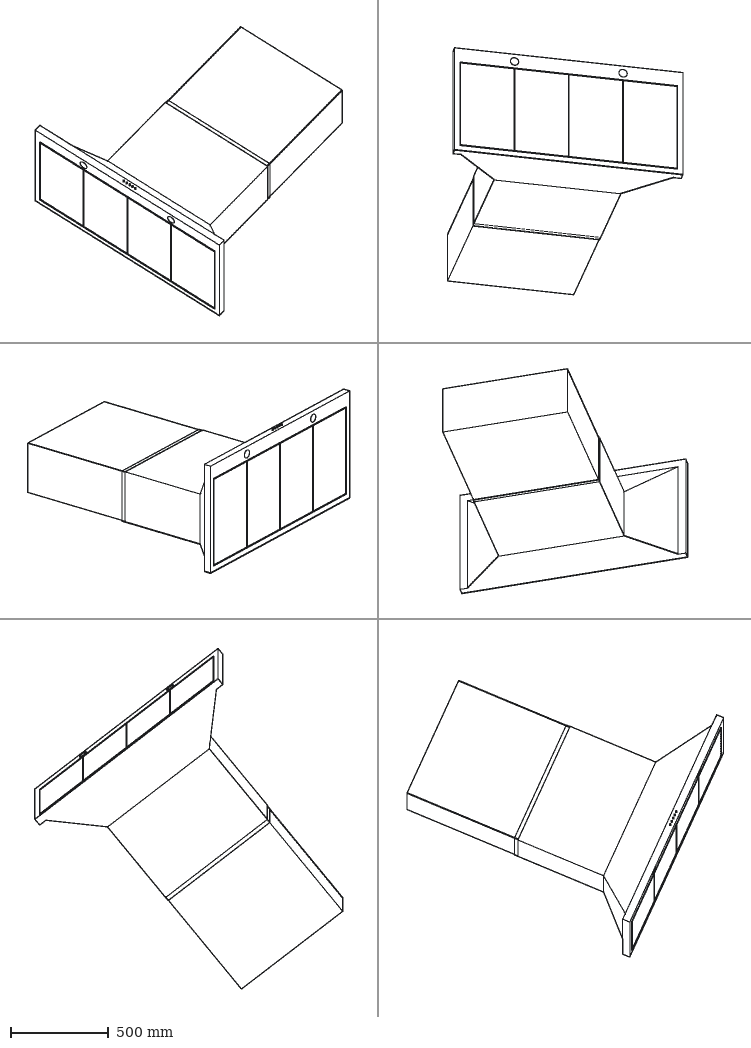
import cadquery as cq

RIM_WIDTH = 1200.0
RIM_HEIGHT = 600.0
RIM_DEPTH = 40.0

CANOPY_SIDE_INSET = 41.0
CANOPY_TOP_INSET = 42.0
CANOPY_END_Y = 263.0
CANOPY_MOUTH_WIDTH = RIM_WIDTH - 2 * CANOPY_SIDE_INSET
CANOPY_MOUTH_HEIGHT = RIM_HEIGHT - CANOPY_TOP_INSET

DUCT_WIDTH = 667.0
DUCT_HEIGHT = 283.0
LOWER_DUCT_END_Y = 763.0
BAND_LENGTH = 20.0
BAND_STEP = 1.0
UPPER_DUCT_SIDE_INSET = 2.0
UPPER_DUCT_TOP_INSET = 2.0
UPPER_DUCT_BOTTOM = 4.0
UPPER_DUCT_END_Y = 1365.0
UPPER_DUCT_WIDTH = DUCT_WIDTH - 2 * UPPER_DUCT_SIDE_INSET
UPPER_DUCT_HEIGHT = DUCT_HEIGHT - UPPER_DUCT_TOP_INSET - UPPER_DUCT_BOTTOM
TOP_LEDGE_WIDTH = 4.0
TOP_LEDGE_DROP = 1.0
SOCKET_START_Y = LOWER_DUCT_END_Y - BAND_LENGTH

FLANGE_HEIGHT = 4.0
FLANGE_STEP = 0.7

FILTER_COUNT = 4
FILTER_FIELD_WIDTH = 1140.0
FILTER_FIELD_HEIGHT = 487.0
FILTER_FIELD_BOTTOM = 33.0
FILTER_PITCH = FILTER_FIELD_WIDTH / FILTER_COUNT
GROOVE_WIDTH = 3.4
GROOVE_DEPTH = 4.0

LAMP_DIAMETER = 44.0
LAMP_Z = 558.0
LAMP_RECESS = 1.0

BUTTON_COUNT = 5
BUTTON_DIAMETER = 8.0
BUTTON_HEIGHT = 7.0
BUTTON_PITCH = 19.0


def block(width, start_y, end_y, height, bottom=0.0, center_x=0.0):
    """Box centred on center_x, from start_y to end_y, standing on bottom."""
    return (
        cq.Workplane("XY")
        .box(width, end_y - start_y, height, centered=(True, False, False))
        .translate((center_x, start_y, bottom))
    )


def filter_grooves():
    """Groove around the whole filter field and between neighbouring panels."""
    grooves = block(FILTER_FIELD_WIDTH, 0, GROOVE_DEPTH, FILTER_FIELD_HEIGHT, FILTER_FIELD_BOTTOM)
    panel_width = FILTER_PITCH - GROOVE_WIDTH
    panel_height = FILTER_FIELD_HEIGHT - 2 * GROOVE_WIDTH
    panel_bottom = FILTER_FIELD_BOTTOM + GROOVE_WIDTH
    for index in range(FILTER_COUNT):
        center_x = (index - (FILTER_COUNT - 1) / 2) * FILTER_PITCH
        grooves = grooves.cut(block(panel_width, 0, GROOVE_DEPTH, panel_height, panel_bottom, center_x))
    return grooves


def lamp_recesses():
    """One round recess above the middle of each half of the filter field."""
    return (
        cq.Workplane("XZ")
        .pushPoints([(side * FILTER_PITCH, LAMP_Z) for side in (-1, 1)])
        .circle(LAMP_DIAMETER / 2)
        .extrude(-LAMP_RECESS)
    )


def flange_zone(width, start_y, end_y):
    """Full-width layer that a back flange replaces."""
    return block(width, start_y, end_y, FLANGE_HEIGHT)


def hood_flange():
    """Stepped-in strip following the outline of the rim and canopy."""
    rim_part = block(RIM_WIDTH - 2 * FLANGE_STEP, FLANGE_STEP, RIM_DEPTH, FLANGE_HEIGHT)
    mouth_x = CANOPY_MOUTH_WIDTH / 2 - FLANGE_STEP
    end_x = DUCT_WIDTH / 2 - FLANGE_STEP
    canopy_part = (
        cq.Workplane("XY")
        .moveTo(-mouth_x, RIM_DEPTH)
        .lineTo(mouth_x, RIM_DEPTH)
        .lineTo(end_x, CANOPY_END_Y)
        .lineTo(-end_x, CANOPY_END_Y)
        .close()
        .extrude(FLANGE_HEIGHT)
    )
    return rim_part.union(canopy_part)


def make_hood():
    """Rim and tapered canopy, with a back flange, filter grooves and lamp recesses."""
    rim = block(RIM_WIDTH, 0, RIM_DEPTH, RIM_HEIGHT)
    canopy = (
        cq.Workplane("XZ", origin=(0, RIM_DEPTH, 0))
        .center(0, CANOPY_MOUTH_HEIGHT / 2)
        .rect(CANOPY_MOUTH_WIDTH, CANOPY_MOUTH_HEIGHT)
        .workplane(offset=RIM_DEPTH - CANOPY_END_Y)
        .center(0, (DUCT_HEIGHT - CANOPY_MOUTH_HEIGHT) / 2)
        .rect(DUCT_WIDTH, DUCT_HEIGHT)
        .loft(ruled=True)
    )
    shell = rim.union(canopy).cut(flange_zone(RIM_WIDTH, 0, CANOPY_END_Y)).union(hood_flange())
    return shell.cut(filter_grooves()).cut(lamp_recesses())


def make_upper_duct():
    """Narrower duct from the socket floor to the far end, with a low ledge along each top edge."""
    body_height = UPPER_DUCT_HEIGHT - TOP_LEDGE_DROP
    top_width = UPPER_DUCT_WIDTH - 2 * TOP_LEDGE_WIDTH
    body = block(UPPER_DUCT_WIDTH, SOCKET_START_Y, UPPER_DUCT_END_Y, body_height, UPPER_DUCT_BOTTOM)
    raised_top = block(top_width, SOCKET_START_Y, UPPER_DUCT_END_Y, UPPER_DUCT_HEIGHT, UPPER_DUCT_BOTTOM)
    return body.union(raised_top)


def make_lower_duct(upper_duct):
    """Duct behind the canopy, ending in a slightly stepped-in socket band."""
    body = block(DUCT_WIDTH, CANOPY_END_Y, SOCKET_START_Y, DUCT_HEIGHT)
    band = block(DUCT_WIDTH - 2 * BAND_STEP, SOCKET_START_Y, LOWER_DUCT_END_Y, DUCT_HEIGHT - BAND_STEP)
    flange = block(DUCT_WIDTH - 2 * FLANGE_STEP, CANOPY_END_Y, LOWER_DUCT_END_Y, FLANGE_HEIGHT)
    shell = body.union(band).cut(flange_zone(DUCT_WIDTH, CANOPY_END_Y, LOWER_DUCT_END_Y))
    return shell.union(flange).cut(upper_duct)


def make_buttons():
    """Row of separate round buttons standing on the top of the rim."""
    buttons = []
    for index in range(BUTTON_COUNT):
        center_x = (index - (BUTTON_COUNT - 1) / 2) * BUTTON_PITCH
        button = (
            cq.Workplane("XY", origin=(center_x, RIM_DEPTH / 2, RIM_HEIGHT))
            .circle(BUTTON_DIAMETER / 2)
            .extrude(BUTTON_HEIGHT)
        )
        buttons.append(button.val())
    return buttons


hood = make_hood()
upper_duct = make_upper_duct()
lower_duct = make_lower_duct(upper_duct)
buttons = make_buttons()

result = cq.Compound.makeCompound([hood.val(), lower_duct.val(), upper_duct.val(), *buttons])